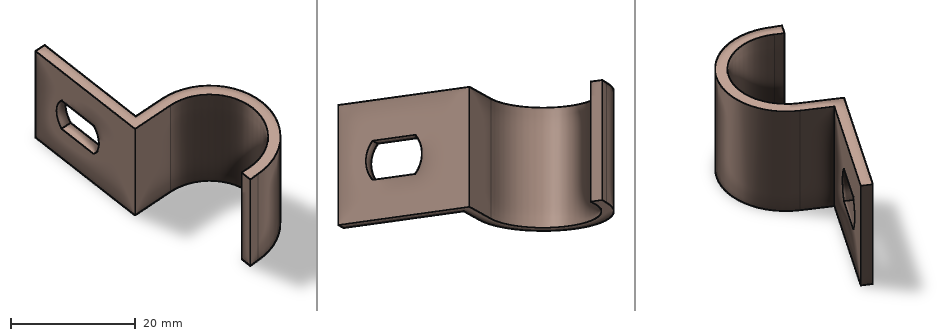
import cadquery as cq

length = 44.25
width = 20.0
depth = 19.0
thickness = 2.0
foot_length = 23.5
outer_radius = 11.35
lip_length = 1.7
hole_center_x = 9.95
hole_diameter = 10.0
hole_height = 6.5

inner_radius = outer_radius - thickness
ring_x = foot_length + inner_radius
ring_y = depth - outer_radius
web_outer_x = ring_x - outer_radius
lip_inner_x = ring_x + inner_radius
ring_outer_x = ring_x + outer_radius
lip_end_y = ring_y - lip_length


def strap():
    """Bent strip: flat foot, upright web, half ring and a lip flaring slightly outside."""
    return (
        cq.Workplane("XY")
        .moveTo(0, 0)
        .lineTo(foot_length, 0)
        .lineTo(foot_length, ring_y)
        .threePointArc((ring_x, ring_y + inner_radius), (lip_inner_x, ring_y))
        .lineTo(lip_inner_x, lip_end_y)
        .lineTo(length, lip_end_y)
        .lineTo(ring_outer_x, ring_y)
        .threePointArc((ring_x, depth), (web_outer_x, ring_y))
        .lineTo(web_outer_x, thickness)
        .lineTo(0, thickness)
        .close()
        .extrude(width)
    )


def mounting_hole():
    """Round hole cutter with flats above and below, running through the foot."""
    foot_face = cq.Workplane("XZ", origin=(hole_center_x, 0, width / 2))
    round_cutter = foot_face.circle(hole_diameter / 2).extrude(-thickness)
    flats = foot_face.rect(hole_diameter, hole_height).extrude(-thickness)
    return round_cutter.intersect(flats)


result = strap().cut(mounting_hole())